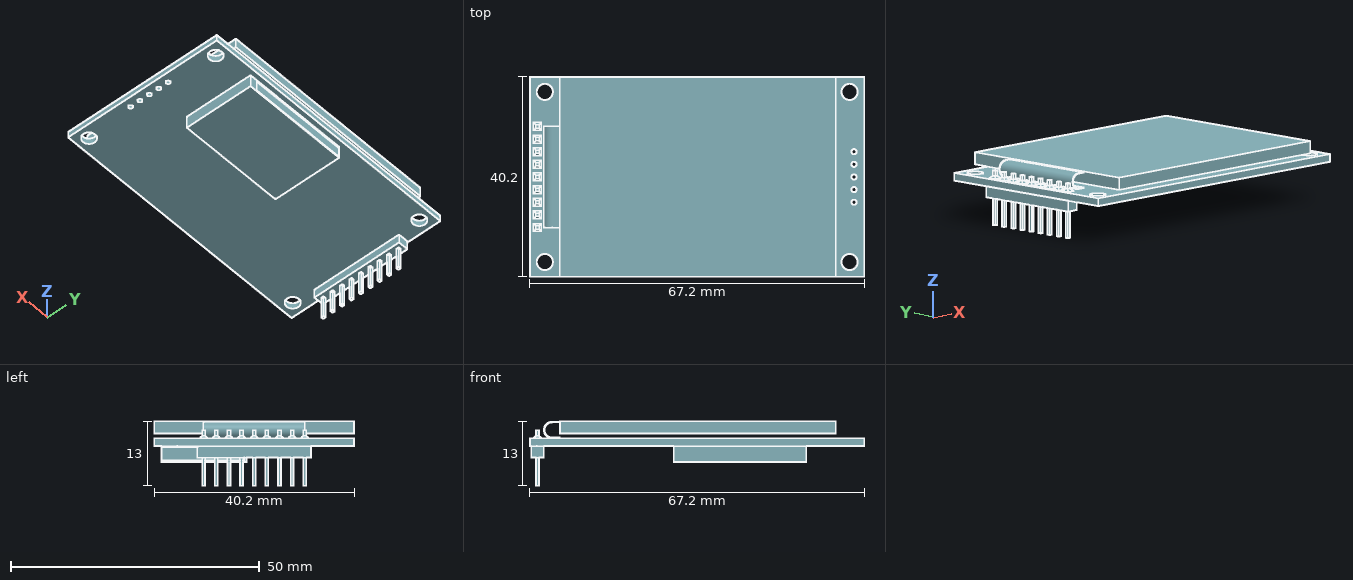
import cadquery as cq

BOARD_LENGTH = 67.25
BOARD_WIDTH = 40.2
BOARD_THICKNESS = 1.6
BOARD_LEFT = -BOARD_LENGTH / 2
BOARD_BOTTOM = -BOARD_THICKNESS

MOUNT_HOLE_DIAMETER = 3.2
MOUNT_HOLE_INSET = 3.0

PITCH = 2.54
TEST_HOLE_COUNT = 5
TEST_HOLE_DIAMETER = 1.0
TEST_HOLE_INSET = 2.1

PANEL_INSET = 6.0
PANEL_LEFT = BOARD_LEFT + PANEL_INSET
PANEL_LENGTH = 55.5
PANEL_THICKNESS = 2.5
PANEL_TOP = 3.43
ACTIVE_LENGTH = 45.4
ACTIVE_WIDTH = 33.8
ACTIVE_OFFSET = 7.15
ACTIVE_THICKNESS = 0.2

FLEX_WIDTH = 20.4
FLEX_THICKNESS = 0.15
FLEX_RADIUS = 1.65
FLEX_INSET = 2.8
FLEX_LEFT = BOARD_LEFT + FLEX_INSET

PIN_COUNT = 9
PIN_SIZE = 0.64
PIN_INSET = 1.52
PIN_X = BOARD_LEFT + PIN_INSET
PIN_TOP = 1.6
TOTAL_HEIGHT = 13.01
PIN_BOTTOM = PANEL_TOP - TOTAL_HEIGHT
HEADER_HEIGHT = 2.3
SOLDER_BASE = 1.6
SOLDER_HEIGHT = 0.5

SOCKET_INSET = 28.9
SOCKET_LEFT = BOARD_LEFT + SOCKET_INSET
SOCKET_LENGTH = 26.65
SOCKET_WIDTH = 17.2
SOCKET_BACK_INSET = 1.4
SOCKET_FRONT = BOARD_WIDTH / 2 - SOCKET_BACK_INSET - SOCKET_WIDTH
SOCKET_HEIGHT = 3.2
SHELL_LENGTH = 24.6
WALL_TOP = 0.25
WALL_BOTTOM = 0.4
WALL_FRONT = 0.45
WALL_BACK = 0.1


def corner_box(x, y, z, length, width, height):
    """Box whose minimum corner is at (x, y, z)."""
    return cq.Workplane("XY").box(length, width, height, centered=False).translate((x, y, z))


def pitch_row(count):
    """Y positions of a row at the standard pitch, centred on the board."""
    return [(i - (count - 1) / 2) * PITCH for i in range(count)]


def make_board():
    """Board with corner mounting holes and a row of test holes."""
    board = corner_box(
        BOARD_LEFT, -BOARD_WIDTH / 2, BOARD_BOTTOM, BOARD_LENGTH, BOARD_WIDTH, BOARD_THICKNESS
    )
    mount_spacing_x = BOARD_LENGTH - 2 * MOUNT_HOLE_INSET
    mount_spacing_y = BOARD_WIDTH - 2 * MOUNT_HOLE_INSET
    test_hole_x = BOARD_LENGTH / 2 - TEST_HOLE_INSET
    board = (
        board.faces(">Z").workplane(origin=(0, 0, 0))
        .rect(mount_spacing_x, mount_spacing_y, forConstruction=True).vertices()
        .hole(MOUNT_HOLE_DIAMETER)
    )
    return (
        board.faces(">Z").workplane(origin=(0, 0, 0))
        .pushPoints([(test_hole_x, y) for y in pitch_row(TEST_HOLE_COUNT)])
        .hole(TEST_HOLE_DIAMETER)
    )


def make_panel():
    """Display panel with the active area as a flush inlay in its top face."""
    panel = corner_box(
        PANEL_LEFT, -BOARD_WIDTH / 2, PANEL_TOP - PANEL_THICKNESS,
        PANEL_LENGTH, BOARD_WIDTH, PANEL_THICKNESS,
    )
    inlay = corner_box(
        PANEL_LEFT + ACTIVE_OFFSET, -ACTIVE_WIDTH / 2, PANEL_TOP - ACTIVE_THICKNESS,
        ACTIVE_LENGTH, ACTIVE_WIDTH, ACTIVE_THICKNESS,
    )
    return panel.cut(inlay).union(inlay, clean=False)


def make_flex():
    """Thin strip folded back through a half circle."""
    bend_x = FLEX_LEFT + FLEX_RADIUS
    top = 2 * FLEX_RADIUS
    inner_left = FLEX_LEFT + FLEX_THICKNESS
    return (
        cq.Workplane("XZ")
        .moveTo(PANEL_LEFT, 0)
        .lineTo(bend_x, 0)
        .threePointArc((FLEX_LEFT, FLEX_RADIUS), (bend_x, top))
        .lineTo(PANEL_LEFT, top)
        .lineTo(PANEL_LEFT, top - FLEX_THICKNESS)
        .lineTo(bend_x, top - FLEX_THICKNESS)
        .threePointArc((inner_left, FLEX_RADIUS), (bend_x, FLEX_THICKNESS))
        .lineTo(PANEL_LEFT, FLEX_THICKNESS)
        .close()
        .extrude(FLEX_WIDTH / 2, both=True)
    )


def make_solder_joint(y):
    """Tapered solder fillet around one pin."""
    return (
        cq.Workplane("XY", origin=(PIN_X, y, 0))
        .rect(SOLDER_BASE, SOLDER_BASE)
        .workplane(offset=SOLDER_HEIGHT)
        .rect(PIN_SIZE, PIN_SIZE)
        .loft(ruled=True)
    )


def make_header():
    """Header strip under the board with its pins and solder joints."""
    length = PIN_COUNT * PITCH
    header = corner_box(
        PIN_X - PITCH / 2, -length / 2, BOARD_BOTTOM - HEADER_HEIGHT, PITCH, length, HEADER_HEIGHT
    )
    for y in pitch_row(PIN_COUNT):
        pin = corner_box(
            PIN_X - PIN_SIZE / 2, y - PIN_SIZE / 2, PIN_BOTTOM, PIN_SIZE, PIN_SIZE, PIN_TOP - PIN_BOTTOM
        )
        header = header.union(pin).union(make_solder_joint(y))
    return header


def make_socket():
    """Card socket: shell open towards -X, with a visible seam at the rear block."""
    bottom = BOARD_BOTTOM - SOCKET_HEIGHT
    shell = corner_box(
        SOCKET_LEFT, SOCKET_FRONT, bottom, SHELL_LENGTH, SOCKET_WIDTH, SOCKET_HEIGHT
    )
    card_slot = corner_box(
        SOCKET_LEFT, SOCKET_FRONT + WALL_FRONT, bottom + WALL_BOTTOM,
        SHELL_LENGTH, SOCKET_WIDTH - WALL_FRONT - WALL_BACK, SOCKET_HEIGHT - WALL_TOP - WALL_BOTTOM,
    )
    rear_block = corner_box(
        SOCKET_LEFT + SHELL_LENGTH, SOCKET_FRONT, bottom,
        SOCKET_LENGTH - SHELL_LENGTH, SOCKET_WIDTH, SOCKET_HEIGHT,
    )
    return shell.cut(card_slot).union(rear_block, clean=False)


result = make_board()
for component in (make_panel(), make_flex(), make_header(), make_socket()):
    result = result.union(component, clean=False)